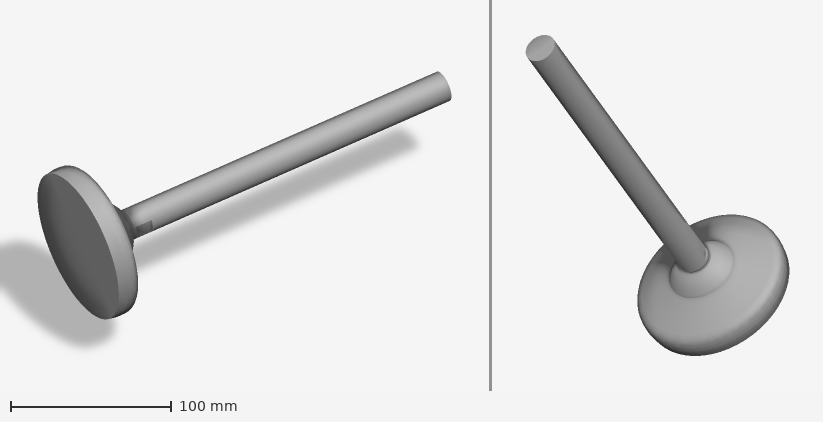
import cadquery as cq
import math

TOTAL_LENGTH = 265.0

FOOT_DIAMETER = 100.0
FOOT_RADIUS = FOOT_DIAMETER / 2
BASE_RADIUS = 49.0
TAPER_HEIGHT = 6.0
RIM_HEIGHT = 9.0
SHOULDER_RADIUS = 45.0
SHOULDER_HEIGHT = 16.2
CONE_TOP_RADIUS = 22.0
CONE_TOP_HEIGHT = 24.0
DOME_BASE_RADIUS = 20.5
DOME_BASE_HEIGHT = 26.0
DOME_TOP_RADIUS = 10.5
FOOT_HEIGHT = 33.5
DOME_BULGE = 1.0

STEM_DIAMETER = 20.0
STEM_RADIUS = STEM_DIAMETER / 2
STEM_CHAMFER = 1.0
NECK_LENGTH = 0.8
FLAT_DISTANCE = 8.5
FLAT_START = 36.8
FLAT_END = 48.2


def bulged_midpoint(start, end, bulge):
    """Point offset outward by bulge from the middle of a falling profile chord."""
    run = end[0] - start[0]
    drop = start[1] - end[1]
    chord = math.hypot(run, drop)
    return (
        (start[0] + end[0]) / 2 + bulge * drop / chord,
        (start[1] + end[1]) / 2 + bulge * run / chord,
    )


def make_foot():
    """Round foot with a tapered rim, a sloping cover and a domed hub."""
    shoulder = (SHOULDER_RADIUS, SHOULDER_HEIGHT)
    cone_top = (CONE_TOP_RADIUS, CONE_TOP_HEIGHT)
    dome_base = (DOME_BASE_RADIUS, DOME_BASE_HEIGHT)
    dome_top = (DOME_TOP_RADIUS, FOOT_HEIGHT)
    cone_slope = (SHOULDER_RADIUS - CONE_TOP_RADIUS, SHOULDER_HEIGHT - CONE_TOP_HEIGHT)
    profile = (
        cq.Workplane("XY")
        .lineTo(BASE_RADIUS, 0)
        .lineTo(FOOT_RADIUS, TAPER_HEIGHT)
        .lineTo(FOOT_RADIUS, RIM_HEIGHT)
        .spline(
            [shoulder],
            tangents=[(0, 1), (-cone_slope[0], -cone_slope[1])],
            includeCurrent=True,
        )
        .lineTo(*cone_top)
        .lineTo(*dome_base)
        .threePointArc(bulged_midpoint(dome_top, dome_base, DOME_BULGE), dome_top)
        .lineTo(0, FOOT_HEIGHT)
        .close()
    )
    return profile.revolve(360, (0, 0, 0), (0, 1, 0))


def make_stem():
    """Long round stem standing on the hub by a short neck, with two wrench flats facing X."""
    length = TOTAL_LENGTH - FOOT_HEIGHT
    neck_radius = STEM_RADIUS - STEM_CHAMFER
    stem = (
        cq.Workplane("XY", origin=(0, FOOT_HEIGHT, 0))
        .lineTo(neck_radius, 0)
        .lineTo(neck_radius, NECK_LENGTH)
        .lineTo(STEM_RADIUS, NECK_LENGTH + STEM_CHAMFER)
        .lineTo(STEM_RADIUS, length)
        .lineTo(0, length)
        .close()
        .revolve(360, (0, 0, 0), (0, 1, 0))
    )
    cut_depth = STEM_RADIUS
    for side in (-1, 1):
        cutter = cq.Workplane("XY").box(cut_depth, FLAT_END - FLAT_START, 2 * STEM_RADIUS)
        cutter = cutter.translate(
            (side * (FLAT_DISTANCE + cut_depth / 2), (FLAT_START + FLAT_END) / 2, 0)
        )
        stem = stem.cut(cutter)
    return stem


foot = make_foot()
stem = make_stem()
result = cq.Compound.makeCompound([foot.val(), stem.val()])